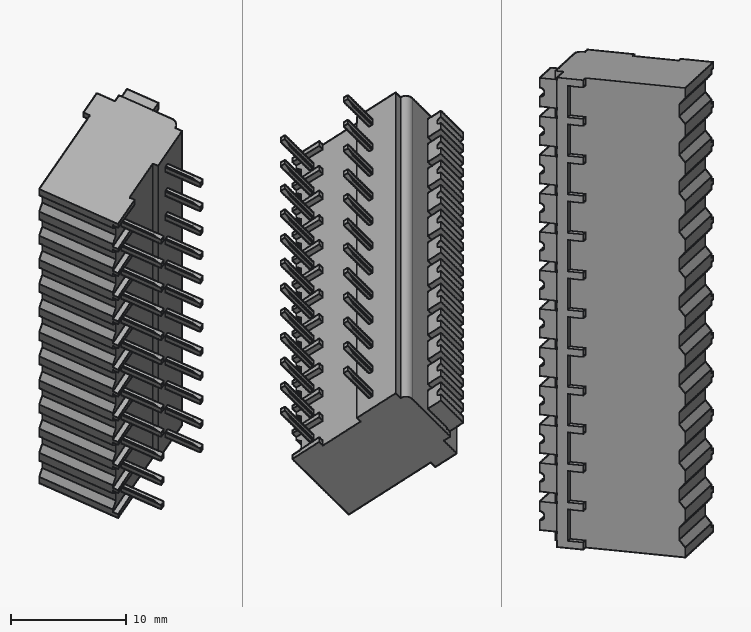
import cadquery as cq

LENGTH = 42.7
POLES = 12
PITCH = 3.5
FIRST_POLE = (LENGTH - (POLES - 1) * PITCH) / 2
pole_heights = [FIRST_POLE + i * PITCH for i in range(POLES)]

LIP_FRONT = 0.0
FRONT = 0.65
BACK = 8.45
LIP_BOTTOM = 9.1
SHOULDER = 11.5
RIDGE_FRONT = 1.8
RIDGE_BACK = 7.77
RIDGE_TOP = 12.2
RIDGE_RADIUS = RIDGE_TOP - SHOULDER
NOTCH_BOTTOM = 3.0
NOTCH_TOP = 7.17
BACK_RECESS = 0.5
NOTCH_X = BACK - BACK_RECESS

WINDOW_WIDTH = 2.85
WINDOW_TOP = 10.5

GROOVE_MOUTH = 2.35
GROOVE_FLOOR = 1.05
GROOVE_DEPTH = 0.55
POCKET_MOUTH = 3.07
POCKET_END = 2.8

LATCH_TOP = 13.65
LATCH_WIDTH = 2.6
LATCH_BACK = 4.9
LATCH_NOTCH_RADIUS = 0.43
CLEARANCE_DEPTH = 0.43

PIN_TIP = 11.9
PIN_TAPER = 0.85
PIN_THICKNESS = 0.45
PIN_WIDTH = 0.8
PIN_TIP_WIDTH = 0.55
PIN_CHAMFER = 0.1
PIN_ROW_LOW = 1.7
PIN_ROW_HIGH = PIN_ROW_LOW + 2 * PITCH


def block(x_range, y_range, z_center, width):
    """Box between two X and two Y values, centred on a height."""
    (x0, x1), (y0, y1) = x_range, y_range
    return (
        cq.Workplane("XY", origin=(x0, y0, z_center - width / 2))
        .box(x1 - x0, y1 - y0, width, centered=False)
    )


def trapezoid(x_range, depth, mouth, floor, z_center):
    """Prism along X that narrows from its mouth on the -Y face to its floor."""
    return (
        cq.Workplane("YZ", origin=(x_range[0], 0, z_center))
        .polyline([(0, -mouth / 2), (0, mouth / 2), (depth, floor / 2), (depth, -floor / 2)])
        .close()
        .extrude(x_range[1] - x_range[0])
    )


def make_housing():
    return (
        cq.Workplane("XY")
        .moveTo(FRONT, 0)
        .lineTo(BACK, 0)
        .lineTo(BACK, NOTCH_BOTTOM)
        .lineTo(NOTCH_X, NOTCH_BOTTOM)
        .lineTo(NOTCH_X, NOTCH_TOP)
        .lineTo(BACK, NOTCH_TOP)
        .lineTo(BACK, SHOULDER)
        .lineTo(RIDGE_BACK, SHOULDER)
        .radiusArc((RIDGE_BACK - RIDGE_RADIUS, RIDGE_TOP), -RIDGE_RADIUS)
        .lineTo(RIDGE_FRONT, RIDGE_TOP)
        .lineTo(RIDGE_FRONT, SHOULDER)
        .lineTo(LIP_FRONT, SHOULDER)
        .lineTo(LIP_FRONT, LIP_BOTTOM)
        .lineTo(FRONT, LIP_BOTTOM)
        .close()
        .extrude(LENGTH)
    )


def make_pole_cutter(z):
    groove = trapezoid((FRONT, NOTCH_X), GROOVE_DEPTH, GROOVE_MOUTH, GROOVE_FLOOR, z)
    pocket = trapezoid((NOTCH_X, BACK), NOTCH_BOTTOM, POCKET_MOUTH, POCKET_END, z)
    window = block((LIP_FRONT, FRONT), (LIP_BOTTOM, WINDOW_TOP), z, WINDOW_WIDTH)
    clearance_x = (RIDGE_FRONT, RIDGE_FRONT + CLEARANCE_DEPTH)
    clearance = block(clearance_x, (SHOULDER, RIDGE_TOP), z, WINDOW_WIDTH)
    return [groove, pocket, window, clearance]


def make_latch(z):
    notch = (
        cq.Workplane("YZ", origin=(RIDGE_FRONT, LATCH_TOP, z))
        .circle(LATCH_NOTCH_RADIUS)
        .extrude(LATCH_BACK - RIDGE_FRONT)
    )
    return block((RIDGE_FRONT, LATCH_BACK), (SHOULDER, LATCH_TOP), z, LATCH_WIDTH).cut(notch)


def make_pin(y, z):
    """Flat pin rooted in the notch floor: chamfered shaft and a tip tapered in Z."""
    taper_start = PIN_TIP - PIN_TAPER
    return (
        cq.Workplane("XZ", origin=(0, y + PIN_THICKNESS / 2, z))
        .polyline([
            (NOTCH_X, -PIN_WIDTH / 2),
            (taper_start, -PIN_WIDTH / 2),
            (PIN_TIP, -PIN_TIP_WIDTH / 2),
            (PIN_TIP, PIN_TIP_WIDTH / 2),
            (taper_start, PIN_WIDTH / 2),
            (NOTCH_X, PIN_WIDTH / 2),
        ])
        .close()
        .extrude(PIN_THICKNESS)
        .edges("|X")
        .chamfer(PIN_CHAMFER)
    )


cutters = [cutter.val() for z in pole_heights for cutter in make_pole_cutter(z)]
additions = [make_latch(z).val() for z in pole_heights]
additions += [make_pin(y, z).val() for y in (PIN_ROW_LOW, PIN_ROW_HIGH) for z in pole_heights]
housing = make_housing().val().cut(*cutters)
result = cq.Workplane(housing.fuse(*additions)).clean()